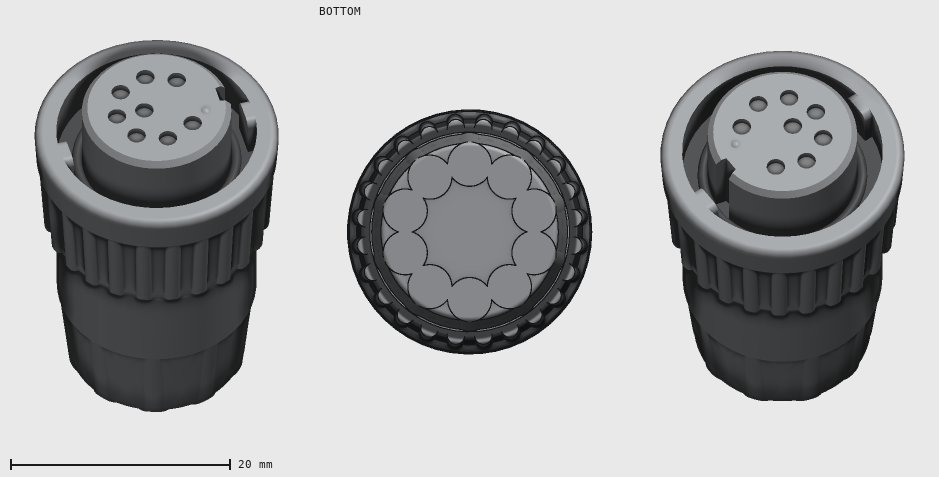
import cadquery as cq
import math


GRIP_TOP_Z = 8.85
GRIP_BOTTOM_Z = 0.12
GRIP_TOP_RADIUS = 8.91
GRIP_BOTTOM_RADIUS = 8.03
GRIP_EDGE_ROUND = 0.45
GRIP_RIB_COUNT = 10
GRIP_FIRST_RIB_ANGLE = 90
GRIP_RIB_HEIGHT = 0.13
GRIP_RIB_ROUND = 2.0

BODY_RADIUS = 9.09
BODY_TOP_Z = 17.75
BODY_EDGE_ROUND = 0.7
NECK_RADIUS = 7.8

RIB_CREST_CLEARANCE = 0.005

COLLAR_TOP_Z = 30.46
COLLAR_BOTTOM_Z = 18.55
COLLAR_TAPER = math.tan(math.radians(3.4))
RIM_RADIUS = 11.155
RIM_EDGE_ROUND = 0.73
RIM_BOTTOM_Z = 26.65
RIM_UNDER_ROUND = 0.6
SKIRT_STEP = 0.65
SKIRT_EDGE_ROUND = 0.3
SKIRT_RIB_COUNT = 24
SKIRT_FIRST_RIB_ANGLE = 180 / SKIRT_RIB_COUNT
SKIRT_RIB_HEIGHT = 0.5
SKIRT_RIB_ROUND = 0.8

CAVITY_RADIUS = 9.13
CAVITY_FLOOR_Z = 26.4
KEY_WIDTH = 2.9
KEY_INNER_Y = 8.22
KEY_EDGE_ROUND = 0.77

INSERT_RADIUS = 6.8
INSERT_TOP_Z = 33.75
INSERT_CHAMFER = 0.5
SEAL_OUTER_RADIUS = 7.72
NOTCH_INNER_Y = 5.76
NOTCH_INNER_WIDTH = 1.48
NOTCH_OUTER_WIDTH = 2.0

CONTACT_CIRCLE_RADIUS = 3.75
CONTACT_PITCH_ANGLE = 45
CONTACT_COUNT = 7
CONTACT_RADIUS = 0.84
CONTACT_DEPTH = 0.7
INNER_CONTACT_Y = -1.16
DOT_X = 1.5
DOT_Y = 4.2
DOT_RADIUS = 0.42
DOT_HEIGHT = 0.13


def disc(radius, bottom_z, top_z):
    return cq.Workplane("XY").workplane(offset=bottom_z).circle(radius).extrude(top_z - bottom_z)


def cone(bottom_radius, bottom_z, top_radius, top_z):
    profile = [(0, bottom_z), (bottom_radius, bottom_z), (top_radius, top_z), (0, top_z)]
    return cq.Workplane("XZ").polyline(profile).close().revolve(360, (0, 0, 0), (0, 1, 0))


def tapered_ribs(count, first_angle, rod_radius, crest_low, crest_high, envelope):
    """Rods leaning along a cone whose crest passes through two (radius, Z) points, trimmed to an envelope."""
    lean = math.atan2(crest_high[0] - crest_low[0], crest_high[1] - crest_low[1])
    inset = rod_radius / math.cos(lean)
    low = cq.Vector(crest_low[0] - inset, 0, crest_low[1])
    high = cq.Vector(crest_high[0] - inset, 0, crest_high[1])
    axis = high - low
    rod = cq.Solid.makeCylinder(rod_radius, 3 * axis.Length, low - axis, axis)
    ribs = cq.Workplane("XY")
    for i in range(count):
        angle = first_angle + i * 360 / count
        ribs = ribs.add(rod.rotate(cq.Vector(0, 0, 0), cq.Vector(0, 0, 1), angle))
    return ribs.combine().intersect(envelope)


def make_grip():
    core = cone(GRIP_BOTTOM_RADIUS, GRIP_BOTTOM_Z, GRIP_TOP_RADIUS, GRIP_TOP_Z)
    core = core.faces("<Z").edges().fillet(GRIP_EDGE_ROUND)
    crest_bottom = GRIP_BOTTOM_RADIUS + GRIP_RIB_HEIGHT
    crest_top = GRIP_TOP_RADIUS + GRIP_RIB_HEIGHT
    envelope = cone(
        crest_bottom + RIB_CREST_CLEARANCE, 0, crest_top + RIB_CREST_CLEARANCE, GRIP_TOP_Z
    )
    envelope = envelope.faces("<Z").edges().fillet(GRIP_EDGE_ROUND)
    ribs = tapered_ribs(
        GRIP_RIB_COUNT,
        GRIP_FIRST_RIB_ANGLE,
        GRIP_RIB_ROUND,
        (crest_bottom, 0),
        (crest_top, GRIP_TOP_Z),
        envelope,
    )
    return core.union(ribs)


def make_body():
    body = disc(BODY_RADIUS, GRIP_TOP_Z, BODY_TOP_Z).faces(">Z").edges().fillet(BODY_EDGE_ROUND)
    return body.union(disc(NECK_RADIUS, GRIP_TOP_Z, COLLAR_BOTTOM_Z))


def rim_wall_radius(z):
    return RIM_RADIUS - COLLAR_TAPER * (COLLAR_TOP_Z - z)


def make_collar():
    rim = cone(rim_wall_radius(RIM_BOTTOM_Z), RIM_BOTTOM_Z, RIM_RADIUS, COLLAR_TOP_Z)
    rim = rim.faces(">Z").edges().fillet(RIM_EDGE_ROUND)
    rim = rim.faces("<Z").edges().fillet(RIM_UNDER_ROUND)

    skirt_low = rim_wall_radius(COLLAR_BOTTOM_Z) - SKIRT_STEP
    skirt_high = rim_wall_radius(RIM_BOTTOM_Z) - SKIRT_STEP
    skirt = cone(skirt_low, COLLAR_BOTTOM_Z, skirt_high, RIM_BOTTOM_Z)
    skirt = skirt.faces("<Z").edges().fillet(SKIRT_EDGE_ROUND)

    rib_top_z = RIM_BOTTOM_Z + RIM_UNDER_ROUND
    crest_low = skirt_low + SKIRT_RIB_HEIGHT
    crest_high = rim_wall_radius(rib_top_z) - SKIRT_STEP + SKIRT_RIB_HEIGHT
    envelope = cone(
        crest_low + RIB_CREST_CLEARANCE, COLLAR_BOTTOM_Z, crest_high + RIB_CREST_CLEARANCE, rib_top_z
    )
    envelope = envelope.faces("<Z").edges().fillet(SKIRT_EDGE_ROUND)
    ribs = tapered_ribs(
        SKIRT_RIB_COUNT,
        SKIRT_FIRST_RIB_ANGLE,
        SKIRT_RIB_ROUND,
        (crest_low, COLLAR_BOTTOM_Z),
        (crest_high, rib_top_z),
        envelope,
    )
    collar = rim.union(skirt).union(ribs)
    return collar.cut(disc(CAVITY_RADIUS, CAVITY_FLOOR_Z, COLLAR_TOP_Z))


def make_keys():
    key_outer_y = CAVITY_RADIUS + KEY_EDGE_ROUND / 2
    key_depth = key_outer_y - KEY_INNER_Y
    key_height = COLLAR_TOP_Z - CAVITY_FLOOR_Z
    key = cq.Workplane("XY").box(KEY_WIDTH, key_depth, key_height, centered=(True, True, False))
    key = key.edges("|Y and >Z").fillet(KEY_EDGE_ROUND)
    key = key.translate((0, KEY_INNER_Y + key_depth / 2, CAVITY_FLOOR_Z))
    key = key.intersect(disc(CAVITY_RADIUS, CAVITY_FLOOR_Z, COLLAR_TOP_Z))
    return key.union(key.mirror("XZ"))


def make_seal():
    section_radius = (SEAL_OUTER_RADIUS - INSERT_RADIUS) / 2
    ring_radius = INSERT_RADIUS + section_radius
    section = cq.Workplane("XZ").center(ring_radius, CAVITY_FLOOR_Z).circle(section_radius)
    return section.revolve(360, (-ring_radius, 0, 0), (-ring_radius, 1, 0))


def make_insert():
    insert = disc(INSERT_RADIUS, CAVITY_FLOOR_Z, INSERT_TOP_Z).faces(">Z").edges().chamfer(INSERT_CHAMFER)
    notch_profile = [
        (-NOTCH_INNER_WIDTH / 2, NOTCH_INNER_Y),
        (NOTCH_INNER_WIDTH / 2, NOTCH_INNER_Y),
        (NOTCH_OUTER_WIDTH / 2, INSERT_RADIUS),
        (-NOTCH_OUTER_WIDTH / 2, INSERT_RADIUS),
    ]
    notch = cq.Workplane("XY").workplane(offset=CAVITY_FLOOR_Z).polyline(notch_profile).close()
    return insert.cut(notch.extrude(INSERT_TOP_Z - CAVITY_FLOOR_Z))


def make_contact_holes():
    points = [(0, INNER_CONTACT_Y)]
    for i in range(1, CONTACT_COUNT + 1):
        angle = math.radians(90 + i * CONTACT_PITCH_ANGLE)
        points.append((CONTACT_CIRCLE_RADIUS * math.cos(angle), CONTACT_CIRCLE_RADIUS * math.sin(angle)))
    floor = cq.Workplane("XY").workplane(offset=INSERT_TOP_Z - CONTACT_DEPTH)
    return floor.pushPoints(points).circle(CONTACT_RADIUS).extrude(CONTACT_DEPTH)


def make_index_dot():
    sphere_radius = (DOT_RADIUS**2 + DOT_HEIGHT**2) / (2 * DOT_HEIGHT)
    center_z = INSERT_TOP_Z + DOT_HEIGHT - sphere_radius
    return cq.Workplane("XY").sphere(sphere_radius).translate((DOT_X, DOT_Y, center_z))


result = (
    make_body()
    .union(make_grip())
    .union(make_collar())
    .union(make_keys())
    .union(make_insert())
    .union(make_seal())
    .cut(make_contact_holes())
    .union(make_index_dot())
)